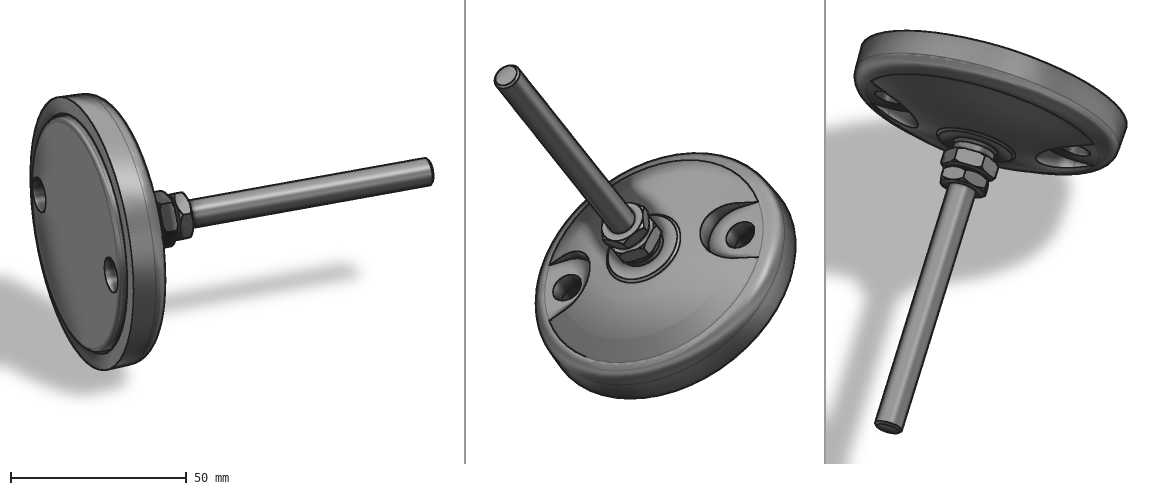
import cadquery as cq
import math

total_height = 108.7

foot_diameter = 79.0
foot_bottom = 2.1
rim_radius = 39.2
rim_shoulder = 8.9
rim_top = 13.5
crown_radius = 11.7
crown_height = 20.0
crown_bulge = 1.0
boss_radius = 11.0
boss_top = 20.7

recess_radius = 34.8
pad_radius = 34.0
pad_top = 7.6
pad_edge_fillet = 1.2

hole_spacing = 55.0
hole_bottom_radius = 5.1
hole_top_radius = 4.5
seat_radius = 10.0

flare_radius = 6.5
flare_height = 1.1
collar_radius = 6.1
hex_bottom = 24.1
hex_height = 4.5
hex_flats = 14.0
hex_face_radius = 7.4
neck_base_radius = 4.2
neck_radius = 3.6
rod_radius = 4.0
rod_tip_chamfer = 0.7

nut_bottom = 29.7
nut_height = 4.0
nut_flats = 13.0

hex_sides = 6
half_side_angle = 180 / hex_sides
hex_bevel_angle = 40.0

hex_top = hex_bottom + hex_height


def plane_at(y):
    """Plane square to the Y axis at height y, with its normal along +Y and its x along +X."""
    return cq.Plane(origin=(0, y, 0), xDir=(1, 0, 0), normal=(0, 1, 0))


def cylinder(radius, bottom, top):
    return cq.Workplane(plane_at(bottom)).circle(radius).extrude(top - bottom)


def revolve_about_y(profile):
    return profile.close().revolve(360, (0, 0, 0), (0, 1, 0))


def chamfered_hexagon(across_flats, face_radius, bottom, height, corners_on_x):
    """Hexagonal prism with its corners turned off conically at both ends."""
    corner_radius = across_flats / 2 / math.cos(math.radians(half_side_angle))
    bevel = (corner_radius - face_radius) * math.tan(math.radians(hex_bevel_angle))
    prism = cq.Workplane(plane_at(bottom)).polygon(hex_sides, 2 * corner_radius).extrude(height)
    if not corners_on_x:
        prism = prism.rotate((0, 0, 0), (0, 1, 0), half_side_angle)
    top = bottom + height
    envelope = revolve_about_y(
        cq.Workplane("XY")
        .moveTo(0, bottom)
        .lineTo(face_radius, bottom)
        .lineTo(corner_radius, bottom + bevel)
        .lineTo(corner_radius, top - bevel)
        .lineTo(face_radius, top)
        .lineTo(0, top)
    )
    return prism.intersect(envelope)


def cut_mounting_holes(body):
    """Cut both mounting holes, which narrow evenly from the underside up to the seats."""
    for side in (-1, 1):
        hole = cq.Solid.makeCone(
            hole_bottom_radius,
            hole_top_radius,
            rim_top,
            pnt=cq.Vector(side * hole_spacing / 2, 0, 0),
            dir=cq.Vector(0, 1, 0),
        )
        body = body.cut(cq.Workplane(hole))
    return body


def cut_bolt_seats(body):
    """Cut a flat seat above each mounting hole, round on the inside and open towards the rim."""
    slot_length = rim_radius - hole_spacing / 2
    for side in (-1, 1):
        seat = (
            cq.Workplane(plane_at(rim_top))
            .center(side * hole_spacing / 2, 0)
            .circle(seat_radius)
            .extrude(boss_top - rim_top)
        )
        slot = (
            cq.Workplane(plane_at(rim_top))
            .center(side * (hole_spacing + slot_length) / 2, 0)
            .rect(slot_length, 2 * seat_radius)
            .extrude(boss_top - rim_top)
        )
        body = body.cut(seat).cut(slot)
    return body


def make_foot():
    rim_round = rim_top - rim_shoulder
    crown_start = rim_radius - rim_round
    arc_diagonal = rim_round * math.sqrt(0.5)
    crown_middle = ((crown_start + crown_radius) / 2, (rim_top + crown_height) / 2 + crown_bulge)
    body = revolve_about_y(
        cq.Workplane("XY")
        .moveTo(0, foot_bottom)
        .lineTo(foot_diameter / 2, foot_bottom)
        .lineTo(rim_radius, rim_shoulder)
        .threePointArc((crown_start + arc_diagonal, rim_shoulder + arc_diagonal), (crown_start, rim_top))
        .threePointArc(crown_middle, (crown_radius, crown_height))
        .lineTo(boss_radius, boss_top)
        .lineTo(0, boss_top)
    )
    body = body.cut(cylinder(recess_radius, foot_bottom, pad_top))
    return cut_mounting_holes(cut_bolt_seats(body))


def make_pad():
    disc = cylinder(pad_radius, 0, pad_top).faces("<Y").edges().fillet(pad_edge_fillet)
    return cut_mounting_holes(disc)


def make_stud():
    shaft = revolve_about_y(
        cq.Workplane("XY")
        .moveTo(0, boss_top)
        .lineTo(flare_radius, boss_top)
        .lineTo(collar_radius, boss_top + flare_height)
        .lineTo(collar_radius, hex_bottom)
        .lineTo(neck_base_radius, hex_bottom)
        .lineTo(neck_base_radius, hex_top)
        .lineTo(neck_radius, hex_top + neck_base_radius - neck_radius)
        .lineTo(neck_radius, nut_bottom)
        .lineTo(rod_radius, nut_bottom)
        .lineTo(rod_radius, total_height - rod_tip_chamfer)
        .lineTo(rod_radius - rod_tip_chamfer, total_height)
        .lineTo(0, total_height)
    )
    hexagon = chamfered_hexagon(hex_flats, hex_face_radius, hex_bottom, hex_height, corners_on_x=True)
    return shaft.union(hexagon)


def make_lock_nut():
    blank = chamfered_hexagon(nut_flats, nut_flats / 2, nut_bottom, nut_height, corners_on_x=False)
    return blank.cut(cylinder(rod_radius, nut_bottom, nut_bottom + nut_height))


foot = make_foot()
pad = make_pad()
stud = make_stud()
lock_nut = make_lock_nut()

bodies = [foot, pad, stud, lock_nut]
result = cq.Compound.makeCompound([body.solids().val() for body in bodies])